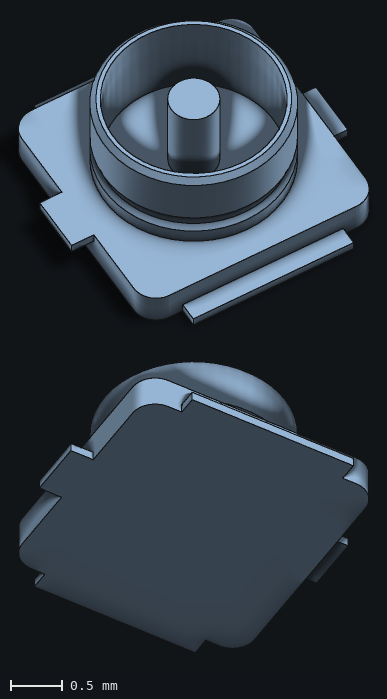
import cadquery as cq

plate_side = 2.6
plate_height = 0.35
corner_radius = 0.25

tab_thickness = 0.1
span_x = 3.0
span_y = 3.1
side_tab_width = 1.8
end_tab_width = 0.6

total_height = 1.3
shell_radius = 1.0
bore_radius = 0.9
pin_radius = 0.25
rim_chamfer = 0.06

groove_radius = 0.95
groove_bottom = 0.565
groove_top = 0.67
groove_slope = shell_radius - groove_radius


def make_plate():
    plate = cq.Workplane("XY").box(plate_side, plate_side, plate_height, centered=(True, True, False))
    return plate.edges("|Z").fillet(corner_radius)


def make_tab(length_x, length_y, center_y, bottom):
    return (
        cq.Workplane("XY", origin=(0, center_y, bottom))
        .box(length_x, length_y, tab_thickness, centered=(True, True, False))
    )


def make_shell():
    """Revolve the tube wall, including its rim chamfer and snap groove."""
    profile = [
        (bore_radius, plate_height),
        (shell_radius, plate_height),
        (shell_radius, groove_bottom - groove_slope),
        (groove_radius, groove_bottom),
        (groove_radius, groove_top),
        (shell_radius, groove_top + groove_slope),
        (shell_radius, total_height - rim_chamfer),
        (shell_radius - rim_chamfer, total_height),
        (bore_radius, total_height),
    ]
    return cq.Workplane("XZ").polyline(profile).close().revolve(360, (0, 0), (0, 1))


def make_pin():
    pin_height = total_height - plate_height
    return cq.Workplane("XY").workplane(offset=plate_height).circle(pin_radius).extrude(pin_height)


result = make_plate()

result = result.union(make_tab(span_x, side_tab_width, 0, 0))

end_tab_length = span_y / 2
result = result.union(make_tab(end_tab_width, end_tab_length, end_tab_length / 2, 0))
upper_tab_bottom = plate_height - tab_thickness
result = result.union(make_tab(end_tab_width, end_tab_length, -end_tab_length / 2, upper_tab_bottom))

result = result.union(make_shell()).union(make_pin())